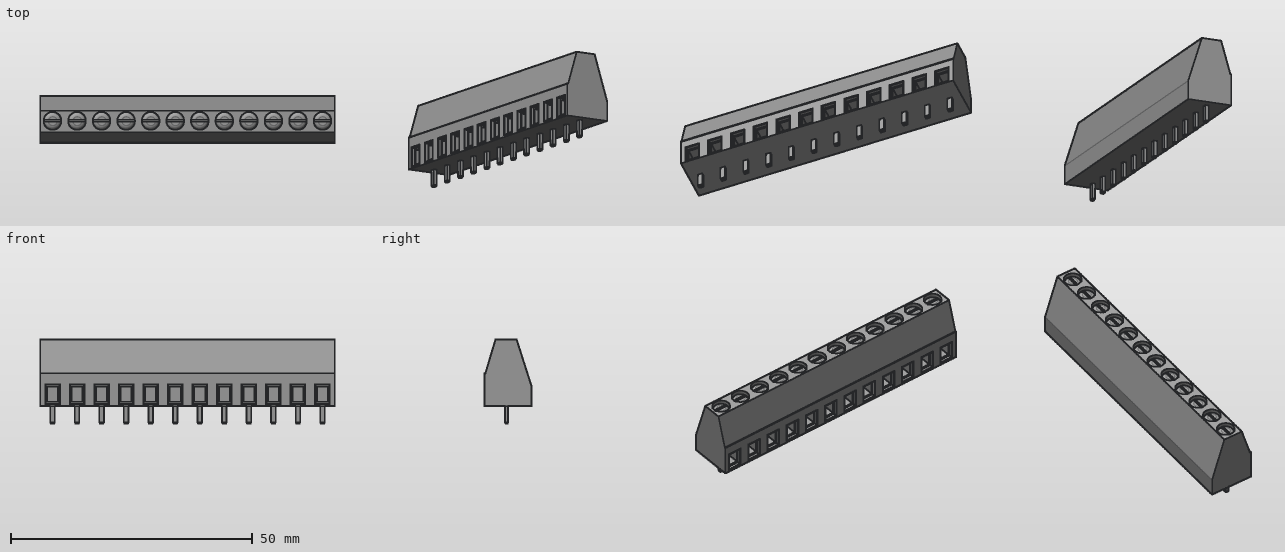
import cadquery as cq

pole_count = 12
pitch = 5.08
length = pole_count * pitch
pole_positions = [(i - (pole_count - 1) / 2) * pitch for i in range(pole_count)]

depth = 9.8
body_height = 13.8
back_y = 5.2
front_y = back_y - depth
back_slope_run = 3.1
front_slope_run = 2.3
top_back_y = back_y - back_slope_run
top_front_y = front_y + front_slope_run
back_break_z = 4.1
front_break_z = 6.8
front_ledge = 0.2

entry_center_z = 2.45
mouth_width = 3.1
mouth_height = 4.2
mouth_lip = 0.15
mouth_depth = 0.1
recess_depth = 0.8
chamber_width = 2.2
chamber_height = 3.1
chamber_depth = 5.0

screw_diameter = 3.68
screw_radius = screw_diameter / 2
screw_recess = 0.4
crown_radius = screw_radius / 2
slot_width = 0.4
slot_depth = 0.5

pin_width = 1.0
pin_thickness = 0.7
pin_length = 3.6
pin_chamfer_inset = 0.15
pin_chamfer_height = 0.3


def make_housing():
    profile = [
        (front_y, 0),
        (front_y, front_break_z),
        (front_y + front_ledge, front_break_z),
        (top_front_y, body_height),
        (top_back_y, body_height),
        (back_y, back_break_z),
        (back_y, 0),
    ]
    return cq.Workplane("YZ").polyline(profile).close().extrude(length / 2, both=True)


def entry_block(x, width, height, block_depth):
    """Box reaching inward from the front face, centred on a wire entry."""
    return (
        cq.Workplane("XY")
        .box(width, block_depth, height, centered=(True, False, True))
        .translate((x, front_y, entry_center_z))
    )


def wire_entry(x):
    mouth = entry_block(x, mouth_width, mouth_height, mouth_depth)
    recess = entry_block(x, mouth_width - 2 * mouth_lip, mouth_height - 2 * mouth_lip, recess_depth)
    chamber = entry_block(x, chamber_width, chamber_height, chamber_depth)
    return mouth.union(recess).union(chamber)


def screw_pocket(x):
    """Void above one screw: round hole ending on a domed, slotted screw head."""
    crown_z = body_height - screw_recess
    hole_bottom_z = crown_z - crown_radius
    hole = (
        cq.Workplane("XY", origin=(x, 0, hole_bottom_z))
        .circle(screw_radius)
        .extrude(body_height - hole_bottom_z)
    )
    head = (
        cq.Workplane("XY", origin=(x, 0, hole_bottom_z - crown_radius))
        .circle(screw_radius)
        .extrude(2 * crown_radius)
        .faces(">Z")
        .edges()
        .fillet(crown_radius)
    )
    slot = (
        cq.Workplane("XY", origin=(x, 0, crown_z - slot_depth))
        .rect(screw_diameter, slot_width)
        .extrude(slot_depth)
        .intersect(hole)
    )
    return hole.cut(head).union(slot)


def solder_pin(x):
    shank_length = pin_length - pin_chamfer_height
    shank = (
        cq.Workplane("XY", origin=(x, 0, -shank_length))
        .rect(pin_width, pin_thickness)
        .extrude(shank_length)
    )
    tip = (
        cq.Workplane("XY", origin=(x, 0, -shank_length))
        .rect(pin_width, pin_thickness)
        .workplane(offset=-pin_chamfer_height)
        .rect(pin_width - 2 * pin_chamfer_inset, pin_thickness - 2 * pin_chamfer_inset)
        .loft(ruled=True)
    )
    return shank.union(tip)


result = make_housing()
for pole_x in pole_positions:
    result = result.cut(wire_entry(pole_x)).cut(screw_pocket(pole_x)).union(solder_pin(pole_x))